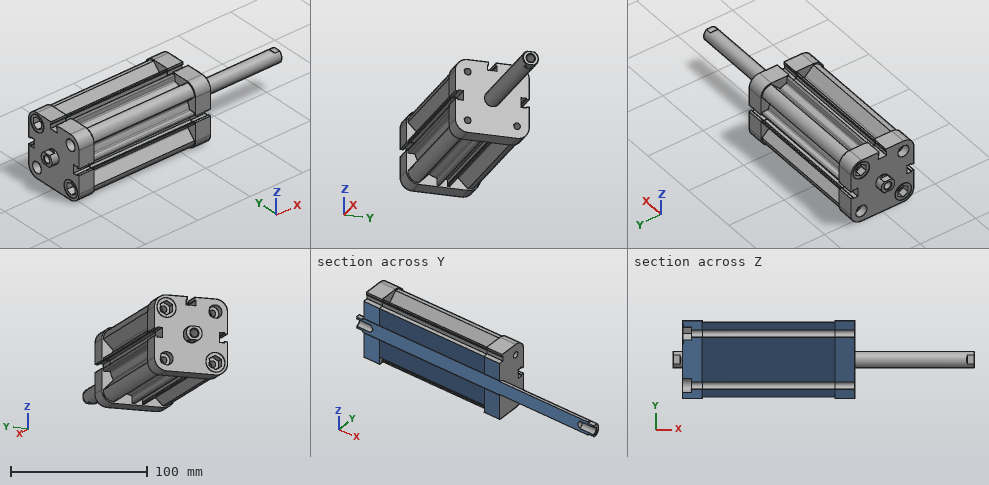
import cadquery as cq
import math

ROD_LENGTH = 220.0
ROD_OVERHANG = 6.8
CAP_LENGTH = 14.5
BARREL_LENGTH = 96.8
BARREL_START = ROD_OVERHANG + CAP_LENGTH
RIGHT_CAP_START = BARREL_START + BARREL_LENGTH

CAP_SIZE = 57.0
BOLT_SPACING = 38.0
BOLT_OFFSET = BOLT_SPACING / 2
CAP_CORNER_RADIUS = CAP_SIZE / 2 - BOLT_OFFSET

BOLT_HOLE_DIAMETER = 5.0
COUNTERBORE_DIAMETER = 10.0
COUNTERBORE_DEPTH = 6.5
HEX_ACROSS_FLATS = 9.2
HEX_DEPTH = COUNTERBORE_DEPTH
RECESS_DIAMETER = 14.7
RECESS_DEPTH = 0.5

SLOT_OPENING = 6.0
SLOT_FLOOR_OFFSET = 22.2
CAP_UNDERCUT_WIDTH = 7.5
CAP_LIP_OFFSET = 26.2
BARREL_UNDERCUT_WIDTH = 6.5
BARREL_LIP_OFFSET = 26.0

BARREL_SIZE = 54.8
TUBE_RADIUS = 22.5
POST_CORNER_RADIUS = BARREL_SIZE / 2 - BOLT_OFFSET
POST_FILLET = 1.0
RAIL_WIDTH = 10.1
RAIL_FILLET = 0.9

ROD_DIAMETER = 12.0
ROD_ACROSS_FLATS = 10.1
FLAT_LENGTH = 5.0
FLAT_SHOULDER = 0.7
ROD_CHAMFER = 0.5
ROD_BORE_DIAMETER = 6.2
ROD_BORE_DEPTH = 13.2
ROD_BORE_CHAMFER = 0.5
DRILL_POINT_ANGLE = 118

SIDE_ANGLES = (0, 90, 180, 270)
CAP_SLOT_ANGLES = (0, 90, 270)
X_AXIS_START = (0, 0, 0)
X_AXIS_END = (1, 0, 0)


def yz_plane(x):
    """Sketch plane facing +X, with local x along Y and local y along Z."""
    return cq.Workplane("YZ", origin=(x, 0, 0))


def turned(solid, angle):
    return solid.rotate(X_AXIS_START, X_AXIS_END, angle)


def square_bar(x, length, size, corner_radius):
    return yz_plane(x).rect(size, size).extrude(length).edges("|X").fillet(corner_radius)


def slot_block(x, length, width, top):
    """Block of the given width standing on the slot floor of the +Z side."""
    height = top - SLOT_FLOOR_OFFSET
    return yz_plane(x).center(0, SLOT_FLOOR_OFFSET + height / 2).rect(width, height).extrude(length)


def cut_t_slots(body, x, length, undercut_width, lip_offset, angles):
    """Cut a slot that widens below its lips into the side at each angle."""
    mouth = slot_block(x, length, SLOT_OPENING, CAP_SIZE / 2)
    undercut = slot_block(x, length, undercut_width, lip_offset)
    slot = mouth.union(undercut)
    for angle in angles:
        body = body.cut(turned(slot, angle))
    return body


def cut_through_bores(body, x, length):
    """Cut the rod bore and the four corner bolt holes through the body."""
    bolt_holes = yz_plane(x).rect(BOLT_SPACING, BOLT_SPACING, forConstruction=True).vertices()
    bolt_holes = bolt_holes.circle(BOLT_HOLE_DIAMETER / 2).extrude(length)
    rod_bore = yz_plane(x).circle(ROD_DIAMETER / 2).extrude(length)
    return body.cut(bolt_holes).cut(rod_bore)


def left_cap_pockets():
    """Bolt pockets in the left cap face: two round, and two hexagonal within shallow round recesses."""
    round_corners = [(BOLT_OFFSET, -BOLT_OFFSET), (-BOLT_OFFSET, BOLT_OFFSET)]
    hex_corners = [(BOLT_OFFSET, BOLT_OFFSET), (-BOLT_OFFSET, -BOLT_OFFSET)]
    face = yz_plane(ROD_OVERHANG)
    pockets = face.pushPoints(round_corners).circle(COUNTERBORE_DIAMETER / 2).extrude(COUNTERBORE_DEPTH)
    recesses = face.pushPoints(hex_corners).circle(RECESS_DIAMETER / 2).extrude(RECESS_DEPTH)
    pockets = pockets.union(recesses)
    hex_corner_diameter = HEX_ACROSS_FLATS / math.cos(math.radians(30))
    for y, z in hex_corners:
        socket = face.polygon(6, hex_corner_diameter).extrude(HEX_DEPTH)
        pockets = pockets.union(turned(socket, 90).translate((0, y, z)))
    return pockets


def make_cap(x):
    cap = square_bar(x, CAP_LENGTH, CAP_SIZE, CAP_CORNER_RADIUS)
    cap = cut_t_slots(cap, x, CAP_LENGTH, CAP_UNDERCUT_WIDTH, CAP_LIP_OFFSET, CAP_SLOT_ANGLES)
    return cut_through_bores(cap, x, CAP_LENGTH)


def rail_channel():
    """Channel on the +Y side of the +Z rail, bounded by the rail, the tube and a 45 degree post face."""
    outer = BARREL_SIZE / 2
    rail = RAIL_WIDTH / 2
    rise = outer - BOLT_OFFSET
    foot_y = (math.sqrt(2 * TUBE_RADIUS**2 - rise**2) - rise) / 2
    foot_z = foot_y + rise
    rail_foot_z = math.sqrt(TUBE_RADIUS**2 - rail**2)
    middle_angle = (math.atan2(foot_z, foot_y) + math.atan2(rail_foot_z, rail)) / 2
    tube_middle = (TUBE_RADIUS * math.cos(middle_angle), TUBE_RADIUS * math.sin(middle_angle))
    round_inset = RAIL_FILLET * (1 - math.sqrt(0.5))
    channel = (
        yz_plane(BARREL_START)
        .moveTo(rail - RAIL_FILLET, outer)
        .lineTo(BOLT_OFFSET, outer)
        .lineTo(foot_y, foot_z)
        .threePointArc(tube_middle, (rail, rail_foot_z))
        .lineTo(rail, outer - RAIL_FILLET)
        .threePointArc((rail - round_inset, outer - round_inset), (rail - RAIL_FILLET, outer))
        .close()
        .extrude(BARREL_LENGTH)
    )
    middle_x = BARREL_START + BARREL_LENGTH / 2
    post_foot = cq.selectors.NearestToPointSelector((middle_x, foot_y, foot_z))
    rail_foot = cq.selectors.NearestToPointSelector((middle_x, rail, rail_foot_z))
    return channel.edges(post_foot).fillet(POST_FILLET).edges(rail_foot).fillet(RAIL_FILLET)


def make_barrel():
    barrel = square_bar(BARREL_START, BARREL_LENGTH, BARREL_SIZE, POST_CORNER_RADIUS)
    right_channel = rail_channel()
    left_channel = right_channel.mirror("XZ")
    for angle in SIDE_ANGLES:
        barrel = barrel.cut(turned(right_channel, angle)).cut(turned(left_channel, angle))
    barrel = cut_t_slots(
        barrel, BARREL_START, BARREL_LENGTH, BARREL_UNDERCUT_WIDTH, BARREL_LIP_OFFSET, SIDE_ANGLES
    )
    return cut_through_bores(barrel, BARREL_START, BARREL_LENGTH)


def wrench_flats():
    """Material removed above and below the left rod end, each flat running out in a short slope."""
    rod_radius = ROD_DIAMETER / 2
    half_flats = ROD_ACROSS_FLATS / 2
    upper = (
        cq.Workplane("XZ", origin=(0, rod_radius, 0))
        .moveTo(0, half_flats)
        .lineTo(FLAT_LENGTH, half_flats)
        .lineTo(FLAT_LENGTH + FLAT_SHOULDER, rod_radius)
        .lineTo(0, rod_radius)
        .close()
        .extrude(ROD_DIAMETER)
    )
    return upper.union(turned(upper, 180))


def rod_end_bore():
    """Blind drilled hole with a chamfered mouth and a conical bottom."""
    radius = ROD_BORE_DIAMETER / 2
    point_length = radius / math.tan(math.radians(DRILL_POINT_ANGLE / 2))
    return (
        cq.Workplane("XZ")
        .lineTo(0, radius + ROD_BORE_CHAMFER)
        .lineTo(ROD_BORE_CHAMFER, radius)
        .lineTo(ROD_BORE_DEPTH, radius)
        .lineTo(ROD_BORE_DEPTH + point_length, 0)
        .close()
        .revolve(360, X_AXIS_START, X_AXIS_END)
    )


def make_rod():
    rod = yz_plane(0).circle(ROD_DIAMETER / 2).extrude(ROD_LENGTH).faces(">X").chamfer(ROD_CHAMFER)
    left_cuts = wrench_flats().union(rod_end_bore())
    right_cuts = left_cuts.mirror("YZ").translate((ROD_LENGTH, 0, 0))
    return rod.cut(left_cuts).cut(right_cuts)


left_cap = make_cap(ROD_OVERHANG).cut(left_cap_pockets())
right_cap = make_cap(RIGHT_CAP_START)
barrel = make_barrel()
rod = make_rod()

result = cq.Compound.makeCompound([left_cap.val(), right_cap.val(), barrel.val(), rod.val()])